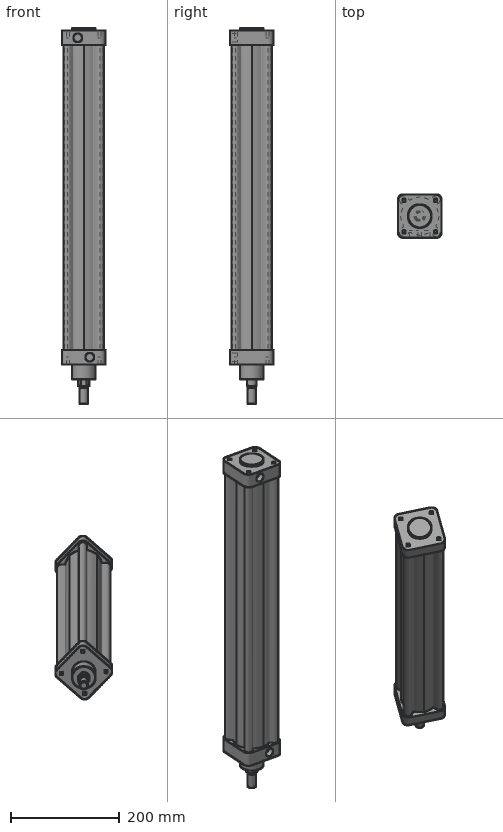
import cadquery as cq
import math


TOTAL_LENGTH = 691.0

COVER_WIDTH = 80.0
COVER_HEIGHT = 27.0
COVER_CORNER_RADIUS = 10.5
HUB_DIAMETER = 43.5
HUB_LENGTH = 27.5
HUB_CHAMFER = 1.0
BOSS_HEIGHT = 4.0
SCREW_SPACING = 58.0
SCREW_HOLE_DIAMETER = 6.0
SCREW_HOLE_DEPTH = 14.0
PORT_DIAMETER = 16.0
PORT_OFFSET = 11.0
PORT_DEPTH = 14.0

TUBE_RADIUS = 34.5
RIDGE_HALF_WIDTH = 7.5
RIB_RADIUS = 7.5
RIB_CENTER = COVER_WIDTH / 2 - COVER_CORNER_RADIUS
CREASE_RADIUS = 2.0

ROD_DIAMETER = 21.0
ROD_FLAT_WIDTH = 18.0
THREAD_DIAMETER = 16.0
THREAD_LENGTH = 29.0
THREAD_CHAMFER = 1.5
NECK_DIAMETER = 13.0
NECK_LENGTH = 4.0

HUB_FACE_Z = 45.0
FRONT_COVER_Z = HUB_FACE_Z + HUB_LENGTH
BARREL_BOTTOM_Z = FRONT_COVER_Z + COVER_HEIGHT
REAR_FACE_Z = TOTAL_LENGTH - BOSS_HEIGHT
BARREL_TOP_Z = REAR_FACE_Z - COVER_HEIGHT


def disc(diameter, bottom, height):
    """An upright cylinder on the rod axis."""
    return cq.Workplane("XY").workplane(offset=bottom).circle(diameter / 2).extrude(height)


def cover_block(bottom, port_x, screw_hole_bottom):
    """A square cover with rounded corners, four screw holes and one port in the -Y face."""
    block = (
        cq.Workplane("XY")
        .workplane(offset=bottom)
        .rect(COVER_WIDTH, COVER_WIDTH)
        .extrude(COVER_HEIGHT)
        .edges("|Z")
        .fillet(COVER_CORNER_RADIUS)
    )
    screw_holes = (
        cq.Workplane("XY")
        .workplane(offset=screw_hole_bottom)
        .rect(SCREW_SPACING, SCREW_SPACING, forConstruction=True)
        .vertices()
        .circle(SCREW_HOLE_DIAMETER / 2)
        .extrude(SCREW_HOLE_DEPTH)
    )
    port = (
        cq.Workplane("XZ", origin=(port_x, -COVER_WIDTH / 2, bottom + COVER_HEIGHT / 2))
        .circle(PORT_DIAMETER / 2)
        .extrude(-PORT_DEPTH)
    )
    return block.cut(screw_holes).cut(port)


def make_front_cover():
    """The lower cover with the hub that guides the rod; its screw holes open downward."""
    block = cover_block(FRONT_COVER_Z, PORT_OFFSET, FRONT_COVER_Z)
    hub = disc(HUB_DIAMETER, HUB_FACE_Z, HUB_LENGTH).faces("<Z").chamfer(HUB_CHAMFER)
    return block.union(hub)


def make_rear_cover():
    """The upper cover with a low centring boss; its screw holes open upward."""
    block = cover_block(BARREL_TOP_Z, -PORT_OFFSET, REAR_FACE_Z - SCREW_HOLE_DEPTH)
    boss = disc(HUB_DIAMETER, REAR_FACE_Z, BOSS_HEIGHT).faces(">Z").chamfer(HUB_CHAMFER)
    return block.union(boss)


def on_tube_circle(edge):
    """Whether an upright edge lies on the tube circle, as the creases beside the ribs do."""
    center = edge.Center()
    return math.isclose(math.hypot(center.x, center.y), TUBE_RADIUS, rel_tol=1e-6)


def make_barrel():
    """A round tube profile with a shallow ridge on each side and a round rib at each corner."""
    length = BARREL_TOP_Z - BARREL_BOTTOM_Z
    axis_start, axis_end = (0, 0, 0), (0, 0, 1)
    quarter_turns = (0, 90, 180, 270)

    rib_reach = RIB_CENTER * math.sqrt(2)
    rib = (
        cq.Workplane("XY")
        .workplane(offset=BARREL_BOTTOM_Z)
        .moveTo(0, -RIB_RADIUS)
        .lineTo(rib_reach, -RIB_RADIUS)
        .threePointArc((rib_reach + RIB_RADIUS, 0), (rib_reach, RIB_RADIUS))
        .lineTo(0, RIB_RADIUS)
        .close()
        .extrude(length)
    )

    flank_y = math.sqrt(TUBE_RADIUS**2 - RIDGE_HALF_WIDTH**2)
    crest_y = TUBE_RADIUS**2 / flank_y
    ridge = (
        cq.Workplane("XY")
        .workplane(offset=BARREL_BOTTOM_Z)
        .polyline([(0, 0), (RIDGE_HALF_WIDTH, flank_y), (0, crest_y), (-RIDGE_HALF_WIDTH, flank_y)])
        .close()
        .extrude(length)
    )

    barrel = disc(2 * TUBE_RADIUS, BARREL_BOTTOM_Z, length)
    for angle in quarter_turns:
        barrel = barrel.union(rib.rotate(axis_start, axis_end, angle))
    barrel = barrel.edges("|Z").filter(on_tube_circle).fillet(CREASE_RADIUS)
    barrel = barrel.rotate(axis_start, axis_end, 45)

    for angle in quarter_turns:
        barrel = barrel.union(ridge.rotate(axis_start, axis_end, angle))
    return barrel


def make_rod():
    """The rod end below the hub: chamfered thread, relief neck and a shank with two flats."""
    shank_z = THREAD_LENGTH + NECK_LENGTH
    shank_length = HUB_FACE_Z - shank_z
    thread = disc(THREAD_DIAMETER, 0, THREAD_LENGTH).faces("<Z").chamfer(THREAD_CHAMFER)
    neck = disc(NECK_DIAMETER, THREAD_LENGTH, NECK_LENGTH)
    flats = (
        cq.Workplane("XY")
        .workplane(offset=shank_z)
        .rect(ROD_DIAMETER, ROD_FLAT_WIDTH)
        .extrude(shank_length)
    )
    shank = disc(ROD_DIAMETER, shank_z, shank_length).intersect(flats)
    return thread.union(neck).union(shank)


front_cover = make_front_cover()
rear_cover = make_rear_cover()
barrel = make_barrel()
rod = make_rod()

result = cq.Compound.makeCompound([front_cover.val(), rear_cover.val(), barrel.val(), rod.val()])